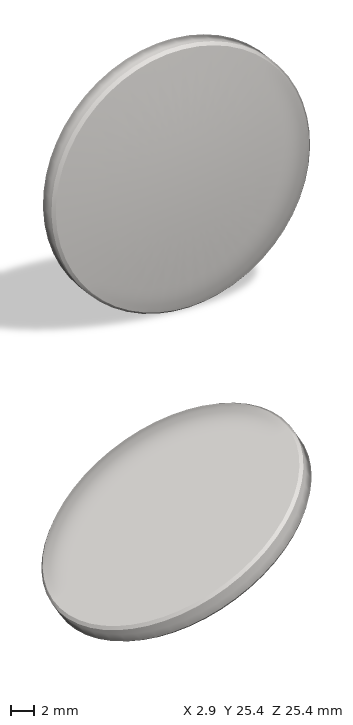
import cadquery as cq

diameter = 25.4
center_thickness = 2.9
bevel = 0.25
rim_end = 1.73
convex_rim = 2.03

radius = diameter / 2
convex_rim_radius = radius - bevel
sag = center_thickness - convex_rim
sphere_radius = (convex_rim_radius**2 + sag**2) / (2 * sag)

mid_height = convex_rim_radius / 2
sphere_center = center_thickness - sphere_radius
mid_x = sphere_center + (sphere_radius**2 - mid_height**2) ** 0.5

profile = (
    cq.Workplane("XZ")
    .moveTo(0, 0)
    .lineTo(0, radius - bevel)
    .lineTo(bevel, radius)
    .lineTo(rim_end, radius)
    .lineTo(convex_rim, convex_rim_radius)
    .threePointArc((mid_x, mid_height), (center_thickness, 0))
    .close()
)

result = profile.revolve(360, (0, 0, 0), (1, 0, 0))